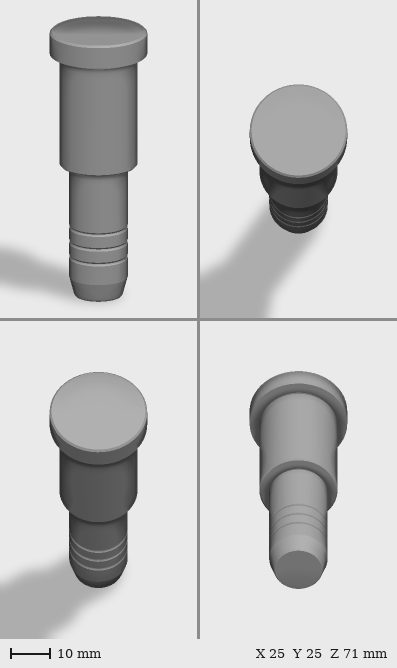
import cadquery as cq
import math

total_length = 71.0
head_height = 6.0
body_end_z = 35.0
tip_length = 5.0

head_radius = 25.0 / 2
body_radius = 20.0 / 2
shank_radius = 15.0 / 2

head_chamfer = 0.5
body_chamfer = 0.4
relief_depth = 0.6
relief_flank_height = 0.5
relief_top_depth = 0.35
relief_height = 1.0
undercut_height = 1.1
undercut_depth = 0.5
tip_angle = 15.0
tip_chamfer_height = 0.4
tip_chamfer_width = 0.3

groove_count = 3
groove_depth = 0.5
first_groove_z = 10.5
groove_pitch = 4.0

head_base_z = total_length - head_height
relief_base_z = head_base_z - relief_height
undercut_radius = shank_radius - undercut_depth
tip_taper_height = tip_length - tip_chamfer_height
tip_radius = shank_radius - tip_taper_height * math.tan(math.radians(tip_angle))


def cylinder(radius, bottom, top):
    """Cylinder on the Z axis between two heights."""
    return cq.Workplane("XY").workplane(offset=bottom).circle(radius).extrude(top - bottom)


def revolve_profile(points):
    """Revolve a closed (radius, z) outline about the Z axis."""
    return cq.Workplane("XZ").polyline(points).close().revolve(360, (0, 0), (0, 1))


def make_head():
    head = cylinder(head_radius, head_base_z, total_length)
    return head.faces(">Z").edges().chamfer(head_chamfer)


def make_v_cutter(outer_radius, depth, center_z):
    """V-ring cutter with 45 degree flanks reaching a depth below a cylinder."""
    root_radius = outer_radius - depth
    return revolve_profile([
        (root_radius, center_z),
        (outer_radius, center_z - depth),
        (outer_radius, center_z + depth),
    ])


def make_body():
    """Guide body with a chamfered lower end and a relief below the head."""
    body = cylinder(body_radius, body_end_z, head_base_z)
    body = body.faces("<Z").edges().chamfer(body_chamfer)
    relief = revolve_profile([
        (body_radius, relief_base_z),
        (body_radius - relief_depth, relief_base_z + relief_flank_height),
        (body_radius - relief_top_depth, head_base_z),
        (body_radius, head_base_z),
    ])
    return body.cut(relief)


def make_shank():
    """Shank with an undercut at the shoulder and a tapered, chamfered tip."""
    undercut_base_z = body_end_z - undercut_height
    return revolve_profile([
        (0, 0),
        (tip_radius - tip_chamfer_width, 0),
        (tip_radius, tip_chamfer_height),
        (shank_radius, tip_length),
        (shank_radius, undercut_base_z),
        (undercut_radius, undercut_base_z),
        (undercut_radius, body_end_z),
        (0, body_end_z),
    ])


shank = make_shank()
for index in range(groove_count):
    groove_z = first_groove_z + index * groove_pitch
    shank = shank.cut(make_v_cutter(shank_radius, groove_depth, groove_z))

result = make_head().union(make_body()).union(shank)